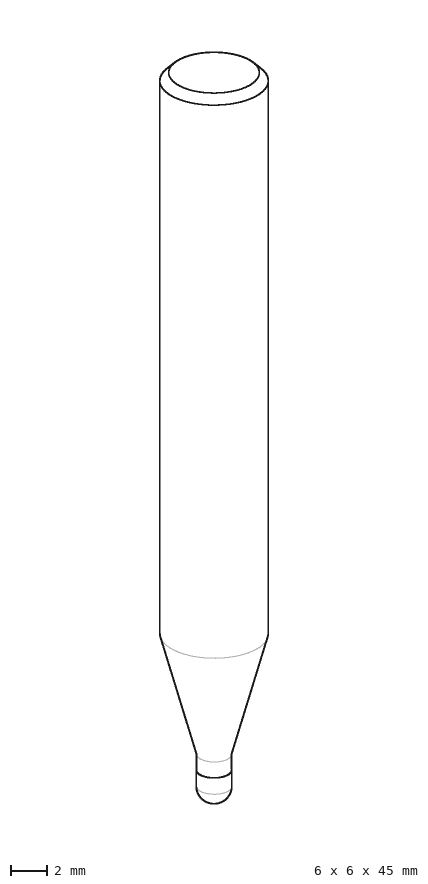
import cadquery as cq

total_length = 45.0
shank_diameter = 6.0
shank_chamfer = 0.5

ball_radius = 1.0
cutter_length = 2.0

neck_relief = 0.022
neck_radius = ball_radius - neck_relief
neck_length = 1.0
cone_length = 7.42

neck_top = cutter_length + neck_length
cone_top = neck_top + cone_length


def make_shank():
    """Chamfered round shank that tapers down to a short neck."""
    shank_radius = shank_diameter / 2
    profile = (
        cq.Workplane("XZ")
        .moveTo(0, cutter_length)
        .lineTo(neck_radius, cutter_length)
        .lineTo(neck_radius, neck_top)
        .lineTo(shank_radius, cone_top)
        .lineTo(shank_radius, total_length)
        .lineTo(0, total_length)
        .close()
    )
    body = profile.revolve(360, (0, 0), (0, 1))
    return body.faces(">Z").edges().chamfer(shank_chamfer)


def make_cutter():
    """Short cylinder with a hemispherical lower end, butted against the neck."""
    profile = (
        cq.Workplane("XZ")
        .moveTo(0, 0)
        .radiusArc((ball_radius, ball_radius), -ball_radius)
        .lineTo(ball_radius, cutter_length)
        .lineTo(0, cutter_length)
        .close()
    )
    return profile.revolve(360, (0, 0), (0, 1))


shank = make_shank()
cutter = make_cutter()

result = cq.Compound.makeCompound([shank.val(), cutter.val()])